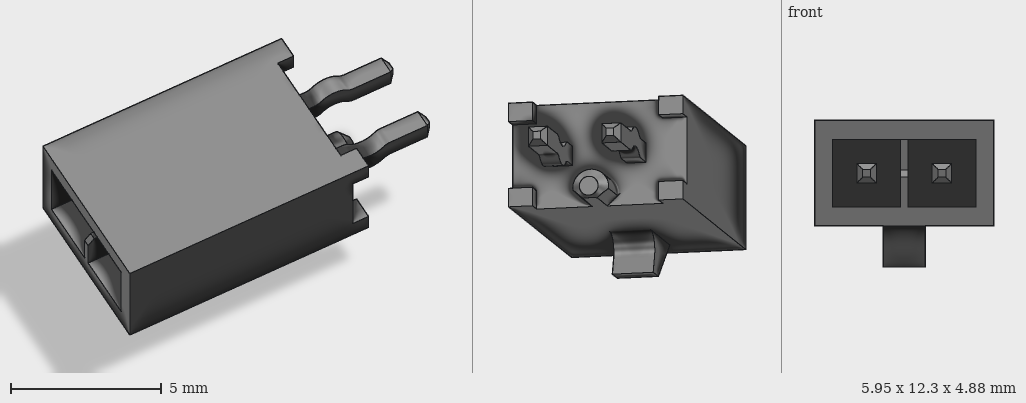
import cadquery as cq
import math


HOUSING_WIDTH = 5.95
HOUSING_HEIGHT = 3.51
BLOCK_LENGTH = 8.46

FOOT_LENGTH = 0.6
FOOT_WIDTH = 0.82
FOOT_HEIGHT = 0.63

SIDE_WALL = 0.59
FLOOR_THICKNESS = 0.63
CAVITY_HEIGHT = 2.23
CAVITY_DEPTH = 6.99
DIVIDER_THICKNESS = 0.25
DIVIDER_LOW_TOP = 1.85
DIVIDER_LOW_LENGTH = 1.5
DIVIDER_NOSE_CHAMFER = 0.23

LATCH_WIDTH = 1.4
LATCH_DROP = 1.37
LATCH_FRONT = 1.36
LATCH_TIP_FRONT = 3.0
LATCH_TIP_REAR = 3.75
LATCH_ROOT_REAR = 3.29
LATCH_ROOT_FILLET = 0.59

PEG_RADIUS = 0.61
PEG_LENGTH = 1.59
PEG_AXIS_HEIGHT = 0.39
PEG_TIP_CHAMFER = 0.3
PEG_ROOT_FILLET = 0.07
PEG_FLAT_WIDTH = 0.51
PEG_FLANK_HEIGHT = 0.33

PIN_PITCH = 2.5
PIN_SIZE = 0.65
PIN_AXIS_HEIGHT = FLOOR_THICKNESS + CAVITY_HEIGHT / 2
PIN_FRONT = 2.0
PIN_REAR = 12.26
PIN_TIP_CHAMFER = 0.2

BEND_CENTRE = 9.92
BEND_HEIGHT = 0.26
BEND_CREST_RADIUS = 0.8
BEND_FOOT_RADIUS = 0.4
BEND_ANGLE = math.acos(1 - BEND_HEIGHT / (BEND_CREST_RADIUS + BEND_FOOT_RADIUS))


def block(width, y_start, y_end, z_bottom, z_top, x_centre=0):
    """Box centred on x_centre that spans the given Y and Z ranges."""
    size = (width, y_end - y_start, z_top - z_bottom)
    box = cq.Workplane("XY").box(*size, centered=(True, False, False))
    return box.translate((x_centre, y_start, z_bottom))


def make_shell():
    """Housing block with a foot on each rear corner."""
    shell = block(HOUSING_WIDTH, 0, BLOCK_LENGTH, 0, HOUSING_HEIGHT)
    foot_offset = (HOUSING_WIDTH - FOOT_WIDTH) / 2
    foot_end = BLOCK_LENGTH + FOOT_LENGTH
    for x in (-foot_offset, foot_offset):
        for z in (0, HOUSING_HEIGHT - FOOT_HEIGHT):
            shell = shell.union(block(FOOT_WIDTH, BLOCK_LENGTH, foot_end, z, z + FOOT_HEIGHT, x))
    return shell


def make_cavity():
    """Open mouth of the housing, less the divider that is low at the mouth and full height behind."""
    ceiling = FLOOR_THICKNESS + CAVITY_HEIGHT
    cavity = block(HOUSING_WIDTH - 2 * SIDE_WALL, 0, CAVITY_DEPTH, FLOOR_THICKNESS, ceiling)
    divider = (
        cq.Workplane("YZ")
        .moveTo(0, FLOOR_THICKNESS)
        .lineTo(0, DIVIDER_LOW_TOP - DIVIDER_NOSE_CHAMFER)
        .lineTo(DIVIDER_NOSE_CHAMFER, DIVIDER_LOW_TOP)
        .lineTo(DIVIDER_LOW_LENGTH, DIVIDER_LOW_TOP)
        .lineTo(DIVIDER_LOW_LENGTH, ceiling)
        .lineTo(CAVITY_DEPTH, ceiling)
        .lineTo(CAVITY_DEPTH, FLOOR_THICKNESS)
        .close()
        .extrude(DIVIDER_THICKNESS / 2, both=True)
    )
    return cavity.cut(divider)


def add_latch(housing):
    """Hook below the housing, with a fillet where its rear face meets the underside."""
    outline = [
        (LATCH_FRONT, 0),
        (LATCH_TIP_FRONT, -LATCH_DROP),
        (LATCH_TIP_REAR, -LATCH_DROP),
        (LATCH_ROOT_REAR, 0),
    ]
    latch = cq.Workplane("YZ").polyline(outline).close().extrude(LATCH_WIDTH / 2, both=True)
    root_edge = cq.selectors.NearestToPointSelector((0, LATCH_ROOT_REAR, 0))
    return housing.union(latch).edges(root_edge).fillet(LATCH_ROOT_FILLET)


def make_peg():
    """Round peg with a filleted root and conical tip, cut flat below between two sloping flanks."""
    tip = BLOCK_LENGTH + PEG_LENGTH
    root_radius = PEG_RADIUS + PEG_ROOT_FILLET
    arc_reach = PEG_ROOT_FILLET * (1 - math.sqrt(0.5))
    round_peg = (
        cq.Workplane("XY")
        .moveTo(0, BLOCK_LENGTH)
        .lineTo(root_radius, BLOCK_LENGTH)
        .threePointArc(
            (PEG_RADIUS + arc_reach, BLOCK_LENGTH + arc_reach),
            (PEG_RADIUS, BLOCK_LENGTH + PEG_ROOT_FILLET),
        )
        .lineTo(PEG_RADIUS, tip - PEG_TIP_CHAMFER)
        .lineTo(PEG_RADIUS - PEG_TIP_CHAMFER, tip)
        .lineTo(0, tip)
        .close()
        .revolve(360, (0, 0), (0, 1))
        .translate((0, 0, PEG_AXIS_HEIGHT))
    )
    half_flat = PEG_FLAT_WIDTH / 2
    trough_height = PEG_AXIS_HEIGHT + root_radius
    flank_run = (PEG_RADIUS - half_flat) / PEG_FLANK_HEIGHT
    half_top = half_flat + trough_height * flank_run
    trough = (
        cq.Workplane("XZ", origin=(0, BLOCK_LENGTH, 0))
        .polyline([(-half_flat, 0), (half_flat, 0), (half_top, trough_height), (-half_top, trough_height)])
        .close()
        .extrude(-PEG_LENGTH)
    )
    return round_peg.intersect(trough)


def bend_points(z_base, bend_direction):
    """Seven points along an S-bend, front to rear, joined in threes by the foot and crest arcs."""
    radius_sum = BEND_CREST_RADIUS + BEND_FOOT_RADIUS
    half_length = radius_sum * math.sin(BEND_ANGLE)

    def foot_point(side, angle):
        along = half_length - BEND_FOOT_RADIUS * math.sin(angle)
        rise = BEND_FOOT_RADIUS * (1 - math.cos(angle))
        return (BEND_CENTRE + side * along, z_base + bend_direction * rise)

    foot_angles = (0, BEND_ANGLE / 2, BEND_ANGLE)
    front_foot = [foot_point(-1, angle) for angle in foot_angles]
    rear_foot = [foot_point(1, angle) for angle in reversed(foot_angles)]
    crest = (BEND_CENTRE, z_base + bend_direction * BEND_HEIGHT)
    return [*front_foot, crest, *rear_foot]


def draw_bend(outline, points):
    """Continue an outline with a line to the bend, then its three arcs."""
    outline = outline.lineTo(*points[0])
    for middle, end in zip(points[1::2], points[2::2]):
        outline = outline.threePointArc(middle, end)
    return outline


def make_pin(x_centre, bend_direction):
    """Square pin with pyramid tips and an S-bend that rises (+1) or dips (-1) in its tail."""
    z_bottom = PIN_AXIS_HEIGHT - PIN_SIZE / 2
    z_top = PIN_AXIS_HEIGHT + PIN_SIZE / 2
    outline = cq.Workplane("YZ").moveTo(PIN_FRONT, z_bottom)
    outline = draw_bend(outline, bend_points(z_bottom, bend_direction))
    outline = outline.lineTo(PIN_REAR, z_bottom).lineTo(PIN_REAR, z_top)
    outline = draw_bend(outline, bend_points(z_top, bend_direction)[::-1])
    pin = outline.lineTo(PIN_FRONT, z_top).close().extrude(PIN_SIZE / 2, both=True)
    pin = pin.faces("<Y or >Y").chamfer(PIN_TIP_CHAMFER)
    return pin.translate((x_centre, 0, 0))


def make_housing(pins):
    """Housing with its cavity, latch and peg, and a matching hole for every pin."""
    housing = add_latch(make_shell().cut(make_cavity())).union(make_peg())
    for pin in pins:
        housing = housing.cut(pin)
    return housing


pins = [make_pin(side * PIN_PITCH / 2, -side) for side in (-1, 1)]
housing = make_housing(pins)

result = cq.Compound.makeCompound([housing.val(), *[pin.val() for pin in pins]])